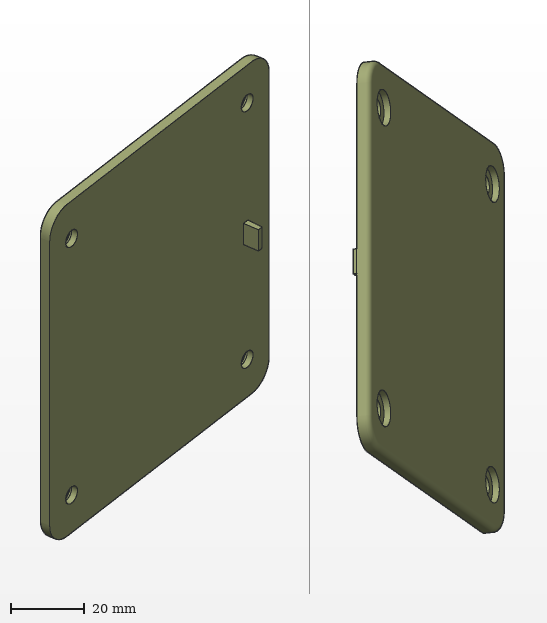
import cadquery as cq

total_depth = 9.0
plate_width = 100.0
plate_height = 110.0
plate_thickness = 4.0
corner_radius = 7.9
edge_radius = 1.5

hole_spacing_y = 80.0
hole_spacing_z = 85.0
hole_diameter = 5.3
counterbore_diameter = 10.0
counterbore_depth = 2.0

tab_height = 7.0
tab_inboard_y = 38.3
tab_root_thickness = 2.0
tab_tip_thickness = 1.7

outer_face_x = -total_depth / 2
inner_face_x = outer_face_x + plate_thickness
tab_tip_x = total_depth / 2


def make_plate():
    """Plate with rounded corners and a rounded rim on the outer face."""
    blank = (
        cq.Workplane("YZ", origin=(outer_face_x, 0, 0))
        .rect(plate_width, plate_height)
        .extrude(plate_thickness)
    )
    return blank.edges("|X").fillet(corner_radius).faces("<X").edges().fillet(edge_radius)


def make_hole_cylinders(diameter, depth):
    """Four cylinders at the screw positions, reaching inwards from the outer face."""
    return (
        cq.Workplane("YZ", origin=(outer_face_x, 0, 0))
        .rect(hole_spacing_y, hole_spacing_z, forConstruction=True)
        .vertices()
        .circle(diameter / 2)
        .extrude(depth)
    )


def make_tab():
    """Tapered tab, rooted in the middle of the plate thickness and centred on Z = 0."""
    return (
        cq.Workplane("XY")
        .moveTo(inner_face_x - plate_thickness / 2, tab_inboard_y)
        .lineTo(tab_tip_x, tab_inboard_y)
        .lineTo(tab_tip_x, tab_inboard_y + tab_tip_thickness)
        .lineTo(inner_face_x, tab_inboard_y + tab_root_thickness)
        .lineTo(inner_face_x - plate_thickness / 2, tab_inboard_y + tab_root_thickness)
        .close()
        .extrude(tab_height / 2, both=True)
    )


result = (
    make_plate()
    .union(make_tab())
    .cut(make_hole_cylinders(hole_diameter, plate_thickness))
    .cut(make_hole_cylinders(counterbore_diameter, counterbore_depth))
)